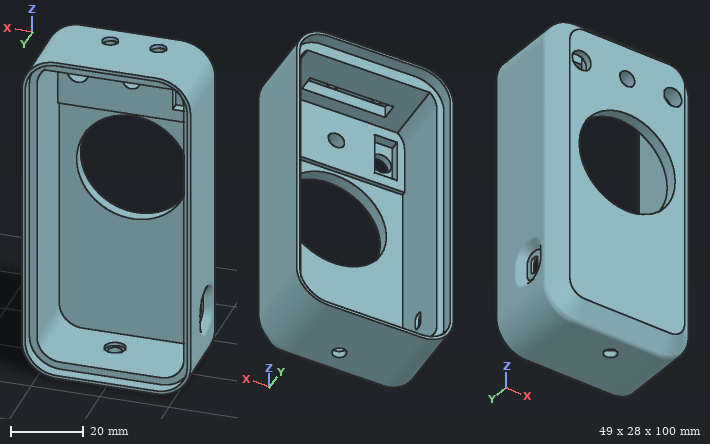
import cadquery as cq
import math

WIDTH = 49.0
DEPTH = 28.0
HEIGHT = 100.0
CORNER_RADIUS = 10.0
BEVEL = 5.0
BEVEL_EDGE_RADIUS = 2.0

FRONT_Y = -DEPTH / 2
BACK_Y = DEPTH / 2
TOP_Z = HEIGHT / 2
BOTTOM_Z = -HEIGHT / 2
LEFT_X = -WIDTH / 2

SIDE_WALL = 3.2
FRONT_WALL = 3.8
TOP_WALL = 5.0
LIP_WALL = 1.0
LIP_DEPTH = 3.8

OPENING_Z = 6.5
OPENING_DIAMETER = 32.5

BUTTON_ROW_Z = 34.5
BUTTON_PITCH = 15.5
BUTTON_DIAMETERS = (6.3, 5.0, 6.0)

PAD_WALL = 5.0
PAD_HEIGHT = 21.0
SEAT_WIDTH = 7.0
SEAT_HEIGHT = 14.0
SEAT_WALL = 2.2

END_HOLE_Y = -2.3
TOP_HOLE_XS = (-10.0, 4.0)
TOP_HOLE_DIAMETER = 4.5
TOP_POCKET_LENGTH = 26.0
TOP_POCKET_WIDTH = 5.0
TOP_POCKET_SKIN = 1.2
BOTTOM_HOLE_X = 2.6
BOTTOM_HOLE_DIAMETER = 4.0
BOTTOM_BORE_DIAMETER = 6.0
BOTTOM_BORE_DEPTH = 1.0

RECESS_Y = -1.0
RECESS_Z = -29.5
RECESS_DEPTH = 2.2
RECESS_FLARE = 2.5
RECESS_FLOOR_WIDTH = 7.0
RECESS_FLOOR_HEIGHT = 9.0
RECESS_FLOOR_RADIUS = 3.0
RECESS_RIM_RADIUS = 1.3
SLOT_WIDTH = 3.0
SLOT_HEIGHT = 5.0
SLOT_CORNER_RADIUS = 1.0

MARGIN = 0.1


def rounded_block(inset, front_y, back_y):
    """Block with the body's outline moved in by inset, between two Y levels."""
    return (
        cq.Workplane("XZ", origin=(0, back_y, 0))
        .rect(WIDTH - 2 * inset, HEIGHT - 2 * inset)
        .extrude(back_y - front_y)
        .edges("|Y")
        .fillet(CORNER_RADIUS - inset)
    )


def box_between(x_range, y_range, z_range):
    sizes = [high - low for low, high in (x_range, y_range, z_range)]
    corner = (x_range[0], y_range[0], z_range[0])
    return cq.Workplane("XY", origin=corner).box(*sizes, centered=False)


def edges_in_box(x_range, y_range, z_range):
    low, high = zip(x_range, y_range, z_range)
    return cq.selectors.BoxSelector(low, high)


def outer_body():
    """Rounded block whose front is beveled, with the bevel's outer edge rounded."""
    body = rounded_block(0, FRONT_Y, BACK_Y).faces("<Y").chamfer(BEVEL)
    bevel_y = FRONT_Y + BEVEL
    bevel_edges = edges_in_box(
        (-WIDTH, WIDTH), (bevel_y - MARGIN, bevel_y + MARGIN), (-HEIGHT, HEIGHT)
    )
    return body.edges(bevel_edges).fillet(BEVEL_EDGE_RADIUS)


def cavity():
    """Inner space: main room less the top wall and button pad, plus the lid step."""
    room = rounded_block(SIDE_WALL, FRONT_Y + FRONT_WALL, BACK_Y)
    across = (-WIDTH / 2, WIDTH / 2)
    top_wall = box_between(across, (FRONT_Y, BACK_Y), (TOP_Z - TOP_WALL, TOP_Z))
    pad_top_z = TOP_Z - TOP_WALL
    pad = box_between(
        across, (FRONT_Y, FRONT_Y + PAD_WALL), (pad_top_z - PAD_HEIGHT, pad_top_z)
    )
    lid_step = rounded_block(LIP_WALL, BACK_Y - LIP_DEPTH, BACK_Y)
    return room.cut(top_wall).cut(pad).union(lid_step)


def front_hole(x, z, diameter):
    return cq.Workplane("XZ", origin=(x, 0, z)).circle(diameter / 2).extrude(-FRONT_Y)


def button_holes():
    holes = cq.Workplane("XY")
    for index, diameter in enumerate(BUTTON_DIAMETERS):
        holes = holes.union(front_hole((index - 1) * BUTTON_PITCH, BUTTON_ROW_Z, diameter))
    return holes


def button_seat():
    return (
        cq.Workplane("XZ", origin=(-BUTTON_PITCH, FRONT_Y + SEAT_WALL, BUTTON_ROW_Z))
        .rect(SEAT_WIDTH, SEAT_HEIGHT)
        .extrude(SEAT_WALL - PAD_WALL)
    )


def end_hole(x, bottom_z, length, diameter):
    return (
        cq.Workplane("XY", origin=(x, END_HOLE_Y, bottom_z))
        .circle(diameter / 2)
        .extrude(length)
    )


def top_openings():
    """Two holes in the top that open into a shared pocket under a thin skin."""
    wall_z = TOP_Z - TOP_WALL
    openings = (
        cq.Workplane("XY", origin=(0, END_HOLE_Y, wall_z))
        .rect(TOP_POCKET_LENGTH, TOP_POCKET_WIDTH)
        .extrude(TOP_WALL - TOP_POCKET_SKIN)
    )
    for x in TOP_HOLE_XS:
        openings = openings.union(end_hole(x, wall_z, TOP_WALL, TOP_HOLE_DIAMETER))
    return openings


def bottom_opening():
    """Hole in the bottom, counterbored from the inside."""
    bore_z = BOTTOM_Z + SIDE_WALL - BOTTOM_BORE_DEPTH
    hole = end_hole(BOTTOM_HOLE_X, BOTTOM_Z, SIDE_WALL, BOTTOM_HOLE_DIAMETER)
    bore = end_hole(BOTTOM_HOLE_X, bore_z, BOTTOM_BORE_DEPTH, BOTTOM_BORE_DIAMETER)
    return hole.union(bore)


def flared_recess():
    """Recess that widens from its rounded floor out through the -X side."""
    flare_angle = math.degrees(math.atan2(RECESS_FLARE, RECESS_DEPTH))
    floor = (
        cq.Sketch()
        .rect(RECESS_FLOOR_WIDTH, RECESS_FLOOR_HEIGHT)
        .vertices()
        .fillet(RECESS_FLOOR_RADIUS)
    )
    return (
        cq.Workplane("YZ", origin=(LEFT_X + RECESS_DEPTH, RECESS_Y, RECESS_Z))
        .placeSketch(floor)
        .extrude(-RECESS_DEPTH - MARGIN, taper=-flare_angle)
    )


def recess_rim_edges():
    reach_y = RECESS_FLOOR_WIDTH / 2 + RECESS_FLARE + MARGIN
    reach_z = RECESS_FLOOR_HEIGHT / 2 + RECESS_FLARE + MARGIN
    return edges_in_box(
        (LEFT_X - MARGIN, LEFT_X + MARGIN),
        (RECESS_Y - reach_y, RECESS_Y + reach_y),
        (RECESS_Z - reach_z, RECESS_Z + reach_z),
    )


def recess_slot():
    return (
        cq.Workplane("YZ", origin=(LEFT_X, RECESS_Y, RECESS_Z))
        .rect(SLOT_WIDTH, SLOT_HEIGHT)
        .extrude(SIDE_WALL)
        .edges("|X")
        .fillet(SLOT_CORNER_RADIUS)
    )


result = outer_body().cut(flared_recess())
result = result.edges(recess_rim_edges()).fillet(RECESS_RIM_RADIUS)
result = result.cut(cavity())
result = result.cut(recess_slot())
result = result.cut(front_hole(0, OPENING_Z, OPENING_DIAMETER))
result = result.cut(button_holes())
result = result.cut(button_seat())
result = result.cut(top_openings())
result = result.cut(bottom_opening())